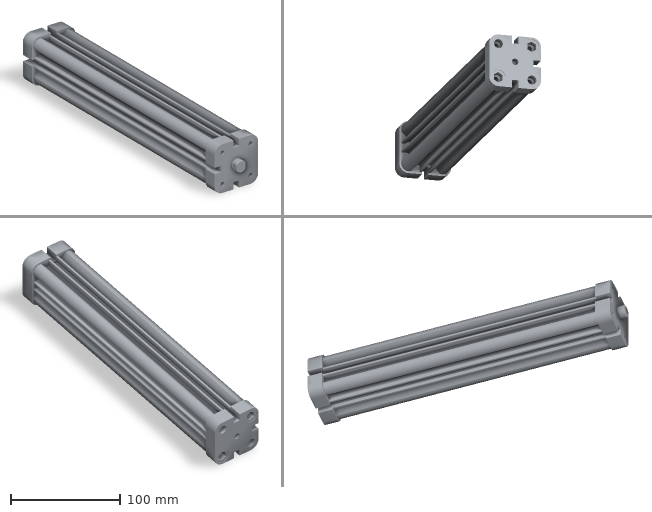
import cadquery as cq
import math

TOTAL_LENGTH = 301.5
ROD_STICK_OUT = 7.2
CAP_LENGTH = 14.2
CAP_START = TOTAL_LENGTH - ROD_STICK_OUT - CAP_LENGTH
TUBE_LENGTH = CAP_START - CAP_LENGTH

CAP_SIZE = 49.5
CAP_CORNER_RADIUS = 8.7
SLOT_WIDTH = 6.3
CAP_SLOT_DEPTH = 7.2

CORNER_OFFSET = CAP_SIZE / 2 - CAP_CORNER_RADIUS
SCREW_HOLE_DIAMETER = 4.5
COUNTERBORE_DIAMETER = 8.5
COUNTERBORE_DEPTH = 7.2
HEX_SIDES = 6
HEX_ACROSS_FLATS = 8.5
SPOT_FACE_DIAMETER = 14.0
SPOT_FACE_DEPTH = 0.5
CENTRE_HOLE_DIAMETER = 6.0
CENTRE_HOLE_DEPTH = 7.2

LOBE_RADIUS = 7.0
LOBE_END = 14.2
LIP_OUTSIDE = 5.5
LIP_TOP = 22.5
LIP_FILLET = 0.5
LIP_UNDERSIDE = 18.7
VALLEY_FILLET = 1.5
UNDERCUT = 4.8
SLOT_FLOOR = 15.0
SIDE_COUNT = 4

ROD_DIAMETER = 12.0
ROD_FLAT_WIDTH = 10.3
ROD_NECK = 1.8
ROD_CHAMFER = 0.45

CORNERS = [(y, z) for y in (-CORNER_OFFSET, CORNER_OFFSET) for z in (-CORNER_OFFSET, CORNER_OFFSET)]
HEX_CORNERS = [(y, z) for y, z in CORNERS if y * z < 0]
ROUND_CORNERS = [(y, z) for y, z in CORNERS if y * z > 0]


def plane_at(x):
    """Cross-section plane at x, with local axes Y and Z."""
    return cq.Workplane("YZ", origin=(x, 0, 0))


def make_cap(x):
    """Square cap with rounded corners, screw holes and slots on three sides."""
    cap = plane_at(x).rect(CAP_SIZE, CAP_SIZE).extrude(CAP_LENGTH)
    cap = cap.edges("|X").fillet(CAP_CORNER_RADIUS)
    slot_centre = (CAP_SIZE - CAP_SLOT_DEPTH) / 2
    upright_slots = [(0, -slot_centre), (0, slot_centre)]
    cap = cap.cut(plane_at(x).pushPoints(upright_slots).rect(SLOT_WIDTH, CAP_SLOT_DEPTH).extrude(CAP_LENGTH))
    cap = cap.cut(plane_at(x).center(-slot_centre, 0).rect(CAP_SLOT_DEPTH, SLOT_WIDTH).extrude(CAP_LENGTH))
    return cap.cut(plane_at(x).pushPoints(CORNERS).circle(SCREW_HOLE_DIAMETER / 2).extrude(CAP_LENGTH))


def make_rear_cap():
    """Cap at the blind end, with two round and two hexagonal counterbores and a blind centre hole."""
    cap = make_cap(0)
    counterbores = plane_at(0).pushPoints(ROUND_CORNERS).circle(COUNTERBORE_DIAMETER / 2)
    cap = cap.cut(counterbores.extrude(COUNTERBORE_DEPTH))
    spot_faces = plane_at(0).pushPoints(HEX_CORNERS).circle(SPOT_FACE_DIAMETER / 2)
    cap = cap.cut(spot_faces.extrude(SPOT_FACE_DEPTH))
    half_side_angle = 180 / HEX_SIDES
    across_corners = HEX_ACROSS_FLATS / math.cos(math.radians(half_side_angle))
    hexagon = plane_at(0).polygon(HEX_SIDES, across_corners).extrude(COUNTERBORE_DEPTH)
    hexagon = hexagon.rotate((0, 0, 0), (1, 0, 0), half_side_angle)
    for y, z in HEX_CORNERS:
        cap = cap.cut(hexagon.translate((0, y, z)))
    return cap.cut(plane_at(0).circle(CENTRE_HOLE_DIAMETER / 2).extrude(CENTRE_HOLE_DEPTH))


def make_front_cap():
    """Cap at the rod end, bored through for the rod."""
    return make_cap(CAP_START).cut(plane_at(CAP_START).circle(ROD_DIAMETER / 2).extrude(CAP_LENGTH))


def quarter_turned(point, quarters):
    """Point turned about the axis by a number of quarter turns."""
    y, z = point
    for _ in range(quarters):
        y, z = -z, y
    return (y, z)


def edge_along_tube(corner):
    """Selector for the lengthwise tube edge through a corner of the profile."""
    return cq.selectors.NearestToPointSelector((CAP_LENGTH + TUBE_LENGTH / 2, *corner))


def make_tube():
    """Extrusion with four round corner lobes and a lipped T-slot in the middle of each side."""
    lobe_height = CORNER_OFFSET + math.sqrt(LOBE_RADIUS**2 - (CORNER_OFFSET - LOBE_END)**2)
    valley_height = lobe_height - (LOBE_END - LIP_OUTSIDE)
    half_side = [
        (LOBE_END, lobe_height),
        (LIP_OUTSIDE, valley_height),
        (LIP_OUTSIDE, LIP_TOP),
        (SLOT_WIDTH / 2, LIP_TOP),
        (SLOT_WIDTH / 2, LIP_UNDERSIDE),
        (UNDERCUT, LIP_UNDERSIDE),
        (UNDERCUT, SLOT_FLOOR),
    ]
    side = half_side + [(-along, height) for along, height in reversed(half_side)]
    lobe_diagonal = CORNER_OFFSET + LOBE_RADIUS * math.sqrt(0.5)
    lobe_tip = (-lobe_diagonal, lobe_diagonal)

    profile = plane_at(CAP_LENGTH).moveTo(*side[0])
    for quarters in range(SIDE_COUNT):
        for point in side[1:]:
            profile = profile.lineTo(*quarter_turned(point, quarters))
        next_side_start = quarter_turned(side[0], quarters + 1)
        profile = profile.threePointArc(quarter_turned(lobe_tip, quarters), next_side_start)
    tube = profile.close().extrude(TUBE_LENGTH)
    rounded_corners = [
        (LIP_OUTSIDE, valley_height, VALLEY_FILLET),
        (LIP_OUTSIDE, LIP_TOP, LIP_FILLET),
        (SLOT_WIDTH / 2, LIP_TOP, LIP_FILLET),
    ]
    for along, height, radius in rounded_corners:
        for mirrored in (-along, along):
            for quarters in range(SIDE_COUNT):
                corner = quarter_turned((mirrored, height), quarters)
                tube = tube.edges(edge_along_tube(corner)).fillet(radius)
    screw_holes = plane_at(CAP_LENGTH).pushPoints(CORNERS).circle(SCREW_HOLE_DIAMETER / 2)
    return tube.cut(screw_holes.extrude(TUBE_LENGTH))


def make_rod():
    """Round rod with two wrench flats and a small end chamfer."""
    rod = plane_at(CAP_START).circle(ROD_DIAMETER / 2).extrude(TOTAL_LENGTH - CAP_START)
    rod = rod.faces(">X").chamfer(ROD_CHAMFER)
    flats_length = ROD_STICK_OUT - ROD_NECK
    flat_cut = (ROD_DIAMETER - ROD_FLAT_WIDTH) / 2
    flat_centre = (ROD_FLAT_WIDTH + flat_cut) / 2
    flats = plane_at(TOTAL_LENGTH).pushPoints([(-flat_centre, 0), (flat_centre, 0)])
    return rod.cut(flats.rect(flat_cut, ROD_DIAMETER).extrude(-flats_length))


rear_cap = make_rear_cap()
front_cap = make_front_cap()
tube = make_tube()
rod = make_rod()

result = cq.Compound.makeCompound([rear_cap.val(), tube.val(), front_cap.val(), rod.val()])